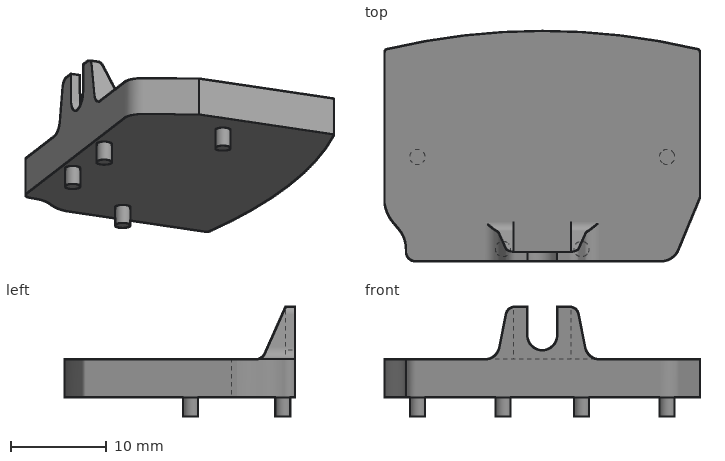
import cadquery as cq
import math

plate_width = 33.0
plate_depth = 24.12
plate_thickness = 4.0
half_width = plate_width / 2

back_radius = 70.0
back_corner_radius = 0.35

slant_start_y = 6.67
slant_angle = math.radians(22.5)
slant_corner_radius = 2.0

notch_top_y = 6.03
notch_x = -14.27
notch_start_angle = math.radians(9)
notch_lean_angle = math.radians(40)
notch_upper_radius = 4.0
notch_lower_radius = 3.1
notch_corner_radius = 1.05

tab_height = 5.5
tab_half_base = 4.75
tab_half_top = 3.65
tab_top_radius = 1.0
tab_foot_radius = 1.5
tab_wall = 1.0
rib_base_depth = 3.45
rib_foot_radius = 1.0
rib_gap = 6.0
slot_width = 3.1
slot_floor = 0.95

pin_diameter = 1.6
pin_length = 2.0
inner_pin_x = 4.1
inner_pin_y = 1.3
outer_pin_x = 13.05
outer_pin_y = 10.93


def make_plate():
    """Plate outline with an S-shaped left corner, a slanted right corner and a bowed back."""
    back_sagitta = back_radius - math.sqrt(back_radius**2 - half_width**2)
    back_corner_y = plate_depth - back_sagitta
    slant_foot_x = half_width - slant_start_y * math.tan(slant_angle)

    upper_center_x = -half_width + notch_upper_radius * math.cos(notch_start_angle)
    upper_center_y = notch_top_y + notch_upper_radius * math.sin(notch_start_angle)

    def upper_arc(angle):
        return (
            upper_center_x - notch_upper_radius * math.cos(angle),
            upper_center_y - notch_upper_radius * math.sin(angle),
        )

    upper_middle = upper_arc((notch_start_angle + notch_lean_angle) / 2)
    upper_end = upper_arc(notch_lean_angle)

    lower_center_x = notch_x - notch_lower_radius
    lower_start_x = lower_center_x + notch_lower_radius * math.cos(notch_lean_angle)
    lower_start_y = upper_end[1] - (lower_start_x - upper_end[0]) / math.tan(notch_lean_angle)
    lower_center_y = lower_start_y - notch_lower_radius * math.sin(notch_lean_angle)

    def lower_arc(angle):
        return (
            lower_center_x + notch_lower_radius * math.cos(angle),
            lower_center_y + notch_lower_radius * math.sin(angle),
        )

    plate = (
        cq.Workplane("XY")
        .moveTo(notch_x, 0)
        .lineTo(slant_foot_x, 0)
        .lineTo(half_width, slant_start_y)
        .lineTo(half_width, back_corner_y)
        .threePointArc((0, plate_depth), (-half_width, back_corner_y))
        .lineTo(-half_width, notch_top_y)
        .threePointArc(upper_middle, upper_end)
        .lineTo(*lower_arc(notch_lean_angle))
        .threePointArc(lower_arc(notch_lean_angle / 2), lower_arc(0))
        .close()
        .extrude(plate_thickness)
    )
    corners = (
        ((notch_x, 0), notch_corner_radius),
        ((slant_foot_x, 0), slant_corner_radius),
        ((half_width, back_corner_y), back_corner_radius),
        ((-half_width, back_corner_y), back_corner_radius),
    )
    for (x, y), radius in corners:
        corner_edge = cq.selectors.NearestToPointSelector((x, y, plate_thickness / 2))
        plate = plate.edges(corner_edge).fillet(radius)
    return plate


def foot_arc(foot, top, radius):
    """Arc that blends a leaning side into level ground.

    The side runs from foot (at height 0) to top (at tab_height), leaning away from the ground.
    Returns the arc's end on the ground, its middle and its end on the side.
    """
    lean = math.atan2(foot - top, tab_height)
    turn = math.pi / 2 - lean
    ground_end = foot + radius * math.tan(turn / 2)

    def arc_point(angle):
        return ground_end - radius * math.sin(angle), radius * (1 - math.cos(angle))

    return arc_point(0), arc_point(turn / 2), arc_point(turn)


def mirrored(point):
    return -point[0], point[1]


def make_tab():
    """Slotted upright wall backed by two sloping ribs."""
    ground, middle, side = foot_arc(tab_half_base, tab_half_top, tab_foot_radius)
    rib_ground, rib_middle, rib_side = foot_arc(rib_base_depth, tab_wall, rib_foot_radius)
    rib_reach = rib_ground[0]

    front_shape = (
        cq.Workplane("XZ", origin=(0, 0, plate_thickness))
        .moveTo(*mirrored(ground))
        .lineTo(*ground)
        .threePointArc(middle, side)
        .lineTo(tab_half_top, tab_height)
        .lineTo(-tab_half_top, tab_height)
        .lineTo(*mirrored(side))
        .threePointArc(mirrored(middle), mirrored(ground))
        .close()
        .extrude(-rib_reach)
        .edges("|Y and >Z")
        .fillet(tab_top_radius)
    )
    side_shape = (
        cq.Workplane("YZ", origin=(0, 0, plate_thickness))
        .lineTo(*rib_ground)
        .threePointArc(rib_middle, rib_side)
        .lineTo(tab_wall, tab_height)
        .lineTo(0, tab_height)
        .close()
        .extrude(ground[0], both=True)
    )
    rib_space = (
        cq.Workplane("XY", origin=(0, tab_wall, plate_thickness))
        .box(rib_gap, rib_reach, tab_height, centered=(True, False, False))
    )
    slot_radius = slot_width / 2
    slot_center = slot_floor + slot_radius
    slot = (
        cq.Workplane("XZ", origin=(0, 0, plate_thickness))
        .moveTo(-slot_radius, tab_height)
        .lineTo(-slot_radius, slot_center)
        .threePointArc((0, slot_floor), (slot_radius, slot_center))
        .lineTo(slot_radius, tab_height)
        .close()
        .extrude(-rib_reach)
    )
    return front_shape.intersect(side_shape).cut(rib_space).cut(slot)


def make_pins():
    """Two pins near the front edge and two further back, hanging below the plate."""
    centers = []
    for side in (-1, 1):
        centers.append((side * inner_pin_x, inner_pin_y))
        centers.append((side * outer_pin_x, outer_pin_y))
    return cq.Workplane("XY").pushPoints(centers).circle(pin_diameter / 2).extrude(-pin_length)


result = make_plate().union(make_tab()).union(make_pins())